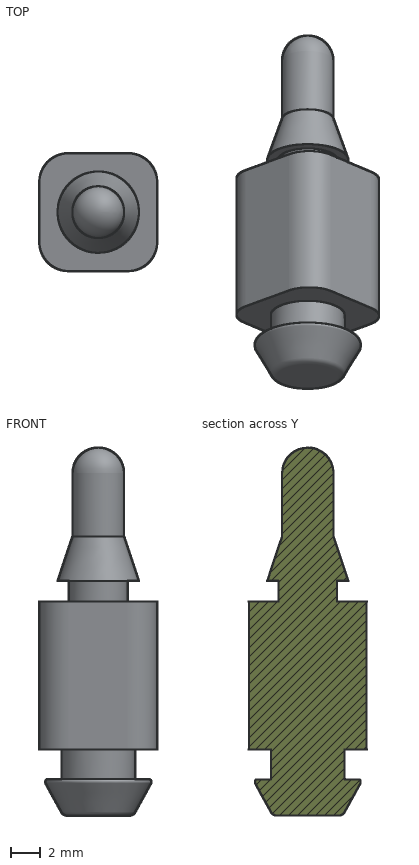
import cadquery as cq

total_height = 24.9
head_height = 2.5
lower_neck_height = 2.0
body_height = 10.0
upper_neck_height = 1.4
barb_height = 3.0

body_width = 8.0
body_corner_radius = 2.0
head_diameter = 7.47
head_tip_diameter = 4.73
head_rim_fillet = 0.2
head_tip_fillet = 0.5
lower_neck_diameter = 5.0
upper_neck_diameter = 4.0
barb_diameter = 5.5
pin_diameter = 3.5

body_bottom = head_height + lower_neck_height
body_top = body_bottom + body_height
barb_bottom = body_top + upper_neck_height
barb_top = barb_bottom + barb_height
pin_radius = pin_diameter / 2
dome_bottom = total_height - pin_radius


def cylinder(diameter, bottom, top):
    """Round post on the Z axis between two levels."""
    return cq.Workplane("XY").workplane(offset=bottom).circle(diameter / 2).extrude(top - bottom)


def make_head():
    """Snap head: a cone widening upward, rounded at the rim and at the tip."""
    profile = (
        cq.Workplane("XZ")
        .lineTo(head_tip_diameter / 2, 0)
        .lineTo(head_diameter / 2, head_height)
        .lineTo(0, head_height)
        .close()
    )
    head = profile.revolve(360, (0, 0, 0), (0, 1, 0))
    return head.faces("<Z").edges().fillet(head_tip_fillet).faces(">Z").edges().fillet(head_rim_fillet)


def make_body():
    """Square spacer with rounded vertical edges."""
    block = cq.Workplane("XY").workplane(offset=body_bottom).rect(body_width, body_width).extrude(body_height)
    return block.edges("|Z").fillet(body_corner_radius)


def make_barbed_pin():
    """Tapered barb carrying a straight pin with a hemispherical end."""
    profile = (
        cq.Workplane("XZ")
        .moveTo(0, barb_bottom)
        .lineTo(barb_diameter / 2, barb_bottom)
        .lineTo(pin_radius, barb_top)
        .lineTo(pin_radius, dome_bottom)
        .radiusArc((0, total_height), -pin_radius)
        .close()
    )
    return profile.revolve(360, (0, 0, 0), (0, 1, 0))


result = (
    make_head()
    .union(cylinder(lower_neck_diameter, head_height, body_bottom))
    .union(make_body())
    .union(cylinder(upper_neck_diameter, body_top, barb_bottom))
    .union(make_barbed_pin())
)